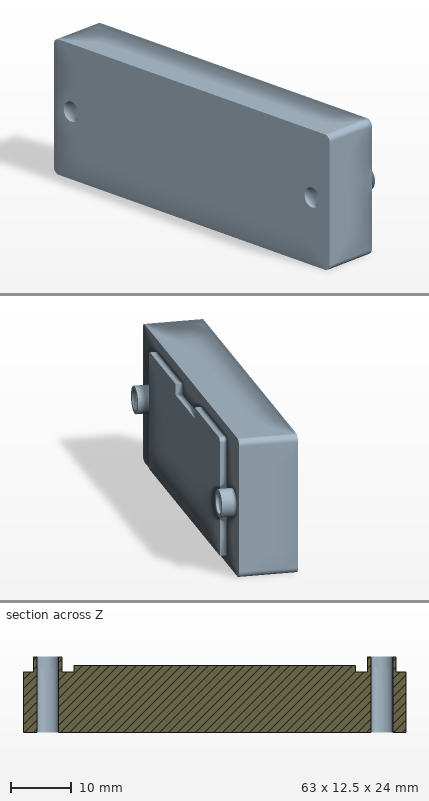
import cadquery as cq

LENGTH = 63.0
HEIGHT = 24.0
TOTAL_DEPTH = 12.5
BOSS_HEIGHT = 2.45
BODY_DEPTH = TOTAL_DEPTH - BOSS_HEIGHT
CORNER_RADIUS = 1.1

HOLE_SPACING = 55.0
HOLE_DIAMETER = 3.5
BOSS_DIAMETER = 4.7

PAD_LENGTH = 46.5
PAD_TOP = 9.75
PAD_BOTTOM = -10.65
PAD_THICKNESS = 1.15
PAD_RADIUS = 0.75
NOTCH_WIDTH = 12.5
NOTCH_CENTER = -0.5
NOTCH_DEPTH = 1.9


def block(length, bottom, top, y_start, depth, x_center=0.0):
    """Box spanning the given X length, Z range and Y range."""
    return (
        cq.Workplane("XY")
        .box(length, depth, top - bottom, centered=(True, False, False))
        .translate((x_center, y_start, bottom))
    )


def cylinders(diameter, y_start, depth):
    """Pair of cylinders along +Y on the two hole axes."""
    return (
        cq.Workplane("XZ", origin=(0, y_start, 0))
        .pushPoints([(side * HOLE_SPACING / 2, 0) for side in (-1, 1)])
        .circle(diameter / 2)
        .extrude(-depth)
    )


def make_pad():
    """Pad with rounded upper corners, square lower corners and a notch."""
    pad = block(PAD_LENGTH, PAD_BOTTOM, PAD_TOP, BODY_DEPTH, PAD_THICKNESS)
    pad = pad.faces(">Z").edges("|Y").fillet(PAD_RADIUS)
    notch = block(
        NOTCH_WIDTH, PAD_TOP - NOTCH_DEPTH, PAD_TOP, BODY_DEPTH, PAD_THICKNESS, NOTCH_CENTER
    )
    return pad.cut(notch)


body = block(LENGTH, -HEIGHT / 2, HEIGHT / 2, 0, BODY_DEPTH).edges("|Y").fillet(CORNER_RADIUS)
bosses = cylinders(BOSS_DIAMETER, BODY_DEPTH, BOSS_HEIGHT)
holes = cylinders(HOLE_DIAMETER, 0, TOTAL_DEPTH)

result = body.union(make_pad()).union(bosses).cut(holes)